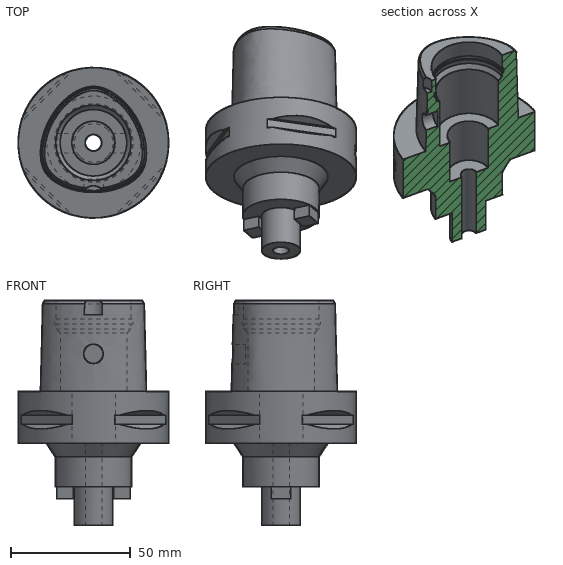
import cadquery as cq
import math

total_height = 94.0
pilot_top = 16.1
neck_top = 28.7
flange_bottom = 34.2
flange_top = 55.9

pilot_radius = 8.1
neck_radius = 16.0
cone_radius = 19.6
flange_radius = 31.5

shank_base_radius = 22.2
shank_lobe = 1.4
shank_taper = 1 / 40
rim_chamfer_height = 1.5
rim_chamfer_width = 0.8
outline_points = 48

mouth_radius = 15.7
bore_radius = 13.9
ring_groove_radius = 16.45
ring_groove_start = 7.7
ring_groove_end = 9.8
seat_start = 11.8
seat_end = seat_start + mouth_radius - bore_radius
bore_floor = flange_top
bolt_recess_radius = 9.0
bolt_recess_floor = flange_bottom
through_radius = 3.4

groove_count = 4
groove_height = 44.1
groove_flat = 3.95
groove_mouth = 7.7
groove_floor_distance = 27.6
groove_ledge_distance = 28.8

key_reach = 15.4
key_inner = 8.4
key_width = 8.2
key_bottom = 11.0

notch_radius = 4.9
notch_center_y = -22.8
notch_depth = 6.0
side_hole_radius = 4.0
side_hole_height = 71.6
side_hole_floor_y = -15.0


def lobed_point(mean_radius, angle):
    """Point on a constant-width curve with one lobe toward +Y."""
    phase = 3 * (angle - math.pi / 2)
    reach = mean_radius + shank_lobe * math.cos(phase)
    slope = -3 * shank_lobe * math.sin(phase)
    x = reach * math.cos(angle) - slope * math.sin(angle)
    y = reach * math.sin(angle) + slope * math.cos(angle)
    return (x, y)


def lobed_section(mean_radius, height):
    step = 2 * math.pi / outline_points
    points = [lobed_point(mean_radius, i * step) for i in range(outline_points)]
    return cq.Workplane("XY", origin=(0, 0, height)).spline(points, periodic=True).close().val()


def lobed_frustum(bottom_radius, bottom, top_radius, top):
    sections = [lobed_section(bottom_radius, bottom), lobed_section(top_radius, top)]
    return cq.Workplane(cq.Solid.makeLoft(sections, True))


def make_shank():
    chamfer_bottom = total_height - rim_chamfer_height
    rim_radius = shank_base_radius - shank_taper * (chamfer_bottom - flange_top)
    taper = lobed_frustum(shank_base_radius, flange_top, rim_radius, chamfer_bottom)
    rim = lobed_frustum(rim_radius, chamfer_bottom, rim_radius - rim_chamfer_width, total_height)
    return taper.union(rim)


def revolve_profile(points):
    return cq.Workplane("XZ").polyline(points).close().revolve(360, (0, 0), (0, 1))


def make_turned_body():
    return revolve_profile([
        (0, 0),
        (pilot_radius, 0),
        (pilot_radius, pilot_top),
        (neck_radius, pilot_top),
        (neck_radius, neck_top),
        (cone_radius, flange_bottom),
        (flange_radius, flange_bottom),
        (flange_radius, flange_top),
        (0, flange_top),
    ])


def make_bore():
    return revolve_profile([
        (0, 0),
        (through_radius, 0),
        (through_radius, bolt_recess_floor),
        (bolt_recess_radius, bolt_recess_floor),
        (bolt_recess_radius, bore_floor),
        (bore_radius, bore_floor),
        (bore_radius, total_height - seat_end),
        (mouth_radius, total_height - seat_start),
        (mouth_radius, total_height - ring_groove_end),
        (ring_groove_radius, total_height - ring_groove_end),
        (ring_groove_radius, total_height - ring_groove_start),
        (mouth_radius, total_height - ring_groove_start),
        (mouth_radius, total_height),
        (0, total_height),
    ])


def make_gripper_groove(angle):
    """Straight groove across the flange: flat floor, short square walls and flared flanks."""
    half_flat = groove_flat / 2
    half_mouth = groove_mouth / 2
    profile = [
        (groove_floor_distance, groove_height - half_flat),
        (groove_ledge_distance, groove_height - half_flat),
        (flange_radius, groove_height - half_mouth),
        (flange_radius, groove_height + half_mouth),
        (groove_ledge_distance, groove_height + half_flat),
        (groove_floor_distance, groove_height + half_flat),
    ]
    groove = cq.Workplane("XZ").polyline(profile).close().extrude(flange_radius, both=True)
    return groove.rotate((0, 0, 0), (0, 0, 1), angle)


def make_key(side):
    length = key_reach - key_inner
    center_x = side * (key_reach + key_inner) / 2
    key = cq.Workplane("XY").box(length, key_width, pilot_top - key_bottom)
    return key.translate((center_x, 0, (pilot_top + key_bottom) / 2))


def make_notch():
    notch = cq.Workplane("XY", origin=(0, notch_center_y, total_height - notch_depth))
    return notch.circle(notch_radius).extrude(notch_depth)


def make_side_hole():
    hole = cq.Workplane("XZ", origin=(0, side_hole_floor_y, side_hole_height))
    return hole.circle(side_hole_radius).extrude(shank_base_radius + side_hole_floor_y)


result = make_turned_body().union(make_shank())
for key_side in (-1, 1):
    result = result.union(make_key(key_side))
result = result.cut(make_bore())
for groove_index in range(groove_count):
    result = result.cut(make_gripper_groove((groove_index + 0.5) * 360 / groove_count))
result = result.cut(make_notch()).cut(make_side_hole())